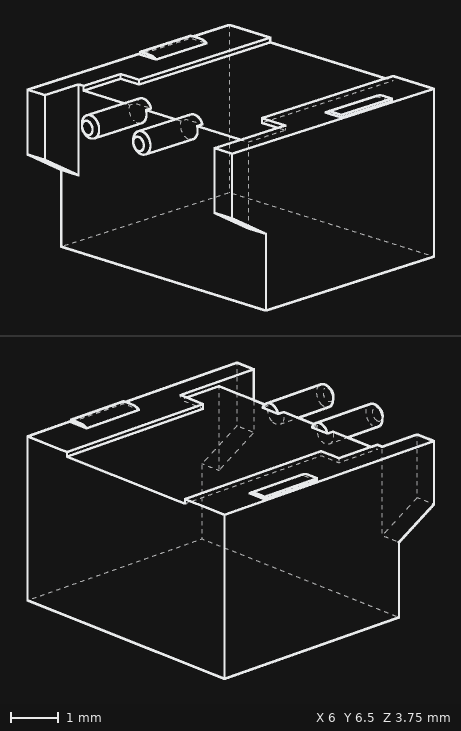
import cadquery as cq
import math

width = 6.0
total_length = 6.5
total_height = 3.75
body_length = 5.0
wall_length = 6.0
bump_height = 0.06
wall_top = total_height - bump_height
floor_top = wall_top - 0.105

wall_thickness = 0.515
arm_end_height = 1.425
arm_slope_angle = math.radians(30)

rail_width = 1.2
rail_length = 3.9
left_ledge_width = 0.66

bump_margin = 0.05
bump_width = 0.47
bump_flat_width = 0.28
bump_rear = 1.2
bump_length = 1.5

pin_radius = 0.255
pin_pitch = 1.5
pin_embed = 0.155
pin_tip_radius = 0.155
pin_tip_length = 0.1


def top_ledge(side, ledge_width, length):
    """Raised strip on the floor along one outer edge; side is -1 or +1."""
    center_x = side * (width - ledge_width) / 2
    return (
        cq.Workplane("XY", origin=(center_x, -length / 2, floor_top))
        .rect(ledge_width, length)
        .extrude(wall_top - floor_top)
    )


def side_wall(side):
    """Full-height wall whose arm overhangs the front with a sloped underside."""
    arm_end_bottom = wall_top - arm_end_height
    slope_drop = (wall_length - body_length) * math.tan(arm_slope_angle)
    profile = [
        (0, 0),
        (0, wall_top),
        (-wall_length, wall_top),
        (-wall_length, arm_end_bottom),
        (-body_length, arm_end_bottom - slope_drop),
        (-body_length, 0),
    ]
    start_x = side * width / 2
    return (
        cq.Workplane("YZ", origin=(start_x, 0, 0))
        .polyline(profile)
        .close()
        .extrude(-side * wall_thickness)
    )


def bump(side):
    """Flat bump that rounds down to the rail on its inner side."""
    outer_x = width / 2 - bump_margin
    flat_end_x = outer_x - bump_flat_width
    inner_x = outer_x - bump_width
    return (
        cq.Workplane("XZ", origin=(0, -bump_rear, 0))
        .moveTo(side * inner_x, wall_top)
        .lineTo(side * outer_x, wall_top)
        .lineTo(side * outer_x, total_height)
        .lineTo(side * flat_end_x, total_height)
        .tangentArcPoint((side * inner_x, wall_top), relative=False)
        .close()
        .extrude(bump_length)
    )


def pin(center_x):
    """Round pin along Y with a tapered tip."""
    start_y = -body_length + pin_embed
    profile = [
        (0, start_y),
        (pin_radius, start_y),
        (pin_radius, -total_length + pin_tip_length),
        (pin_tip_radius, -total_length),
        (0, -total_length),
    ]
    return (
        cq.Workplane("XY")
        .polyline(profile)
        .close()
        .revolve(360, (0, 0, 0), (0, 1, 0))
        .translate((center_x, 0, total_height - pin_radius))
    )


result = cq.Workplane("XY").box(width, body_length, floor_top, centered=(True, False, False))
result = result.translate((0, -body_length, 0))

for side in (-1, 1):
    result = result.union(side_wall(side))
    result = result.union(top_ledge(side, rail_width, rail_length))
    result = result.union(bump(side))
    result = result.union(pin(side * pin_pitch / 2))

result = result.union(top_ledge(-1, left_ledge_width, body_length))